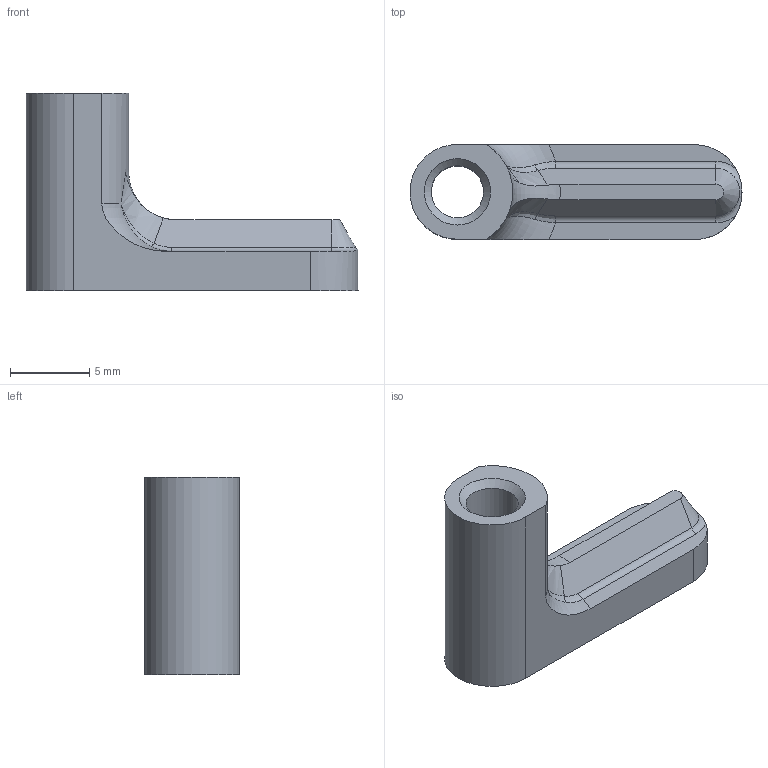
import cadquery as cq
import math

arm_width = 6.0
half_width = arm_width / 2
arm_thickness = 2.5
arm_length = 15.0

hub_height = 12.5
hub_radius = 3.5
hub_blend_radius = 3.0
hub_blend_reach = hub_radius + hub_blend_radius

ridge_top = 4.5
ridge_top_half_width = 0.5
flank_angle = math.radians(30)
flank_slope = math.tan(flank_angle)
ridge_foot_half_width = ridge_top_half_width + (ridge_top - arm_thickness) * flank_slope
ridge_root_half_width = ridge_top_half_width + ridge_top * flank_slope
ridge_end = arm_length + half_width - ridge_foot_half_width

foot_blend_radius = 0.5
foot_blend_centre = ridge_foot_half_width + foot_blend_radius * math.tan(math.pi / 4 - flank_angle / 2)

bore_diameter = 3.3
countersink_diameter = 4.2
countersink_depth = (countersink_diameter - bore_diameter) / 2

selection_margin = 0.3


def make_outline():
    """Plan outline of the whole part, over the full height."""
    return (
        cq.Workplane("XY")
        .center(arm_length / 2, 0)
        .slot2D(arm_length + arm_width, arm_width)
        .extrude(hub_height)
    )


def make_flared_hub():
    """Arm-thick disc and hub column in one revolution, joined by the hub blend."""
    disc_radius = arm_length + arm_width
    blend_middle = hub_blend_radius * (1 - math.sqrt(0.5))
    return (
        cq.Workplane("XZ")
        .lineTo(disc_radius, 0)
        .lineTo(disc_radius, arm_thickness)
        .lineTo(hub_blend_reach, arm_thickness)
        .threePointArc(
            (hub_radius + blend_middle, arm_thickness + blend_middle),
            (hub_radius, arm_thickness + hub_blend_radius),
        )
        .lineTo(hub_radius, hub_height)
        .lineTo(0, hub_height)
        .close()
        .revolve(360, (0, 0), (0, 1))
    )


def make_ridge_on_hub():
    """Straight ridge growing out of the hub column, with the hub blend on flanks and top."""
    column = cq.Workplane("XY").circle(hub_radius).extrude(hub_height)
    ridge = (
        cq.Workplane("YZ")
        .moveTo(-ridge_root_half_width, 0)
        .lineTo(ridge_root_half_width, 0)
        .lineTo(ridge_top_half_width, ridge_top)
        .lineTo(-ridge_top_half_width, ridge_top)
        .close()
        .extrude(ridge_end)
    )
    junction_edges = cq.selectors.BoxSelector(
        (hub_radius / 2, -ridge_root_half_width, selection_margin),
        (hub_radius + selection_margin, ridge_root_half_width, ridge_top + selection_margin),
    )
    return column.union(ridge).edges(junction_edges).fillet(hub_blend_radius)


def make_foot_blend(body):
    """One side (-Y) of the arm beside the hub, with the foot of the ridge rounded."""
    inner_side = ridge_top_half_width + foot_blend_radius / 2
    strip = cq.Workplane("XY").box(
        ridge_end, half_width - inner_side, hub_height, centered=False
    ).translate((0, -half_width, 0))
    hub_clearance = 0.005
    hub_core = cq.Workplane("XY").circle(hub_radius + hub_clearance).extrude(hub_height)
    foot_edges = cq.selectors.BoxSelector(
        (hub_radius, -ridge_foot_half_width - selection_margin, arm_thickness - selection_margin),
        (ridge_end - selection_margin, -ridge_foot_half_width + selection_margin, hub_height),
    )
    return body.intersect(strip).cut(hub_core).edges(foot_edges).fillet(foot_blend_radius)


def make_ridge_end():
    """Cone at the far end of the ridge, with the foot blend around it."""
    blend_height = arm_thickness + foot_blend_radius
    steep = (
        foot_blend_centre - foot_blend_radius * math.cos(flank_angle),
        blend_height - foot_blend_radius * math.sin(flank_angle),
    )
    middle_angle = (flank_angle + math.pi / 2) / 2
    middle = (
        foot_blend_centre - foot_blend_radius * math.cos(middle_angle),
        blend_height - foot_blend_radius * math.sin(middle_angle),
    )
    return (
        cq.Workplane("XZ")
        .lineTo(foot_blend_centre, 0)
        .lineTo(foot_blend_centre, arm_thickness)
        .threePointArc(middle, steep)
        .lineTo(ridge_top_half_width, ridge_top)
        .lineTo(0, ridge_top)
        .close()
        .revolve(360, (0, 0), (0, 1))
        .translate((ridge_end, 0, 0))
    )


def make_bore():
    """Countersunk through bore on the hub axis."""
    return (
        cq.Workplane("XZ")
        .lineTo(bore_diameter / 2, 0)
        .lineTo(bore_diameter / 2, hub_height - countersink_depth)
        .lineTo(countersink_diameter / 2, hub_height)
        .lineTo(0, hub_height)
        .close()
        .revolve(360, (0, 0), (0, 1))
    )


body = make_flared_hub().union(make_ridge_on_hub())
foot_blend = make_foot_blend(body)
body = body.union(foot_blend).union(foot_blend.mirror("XZ")).union(make_ridge_end())
result = body.intersect(make_outline()).cut(make_bore())